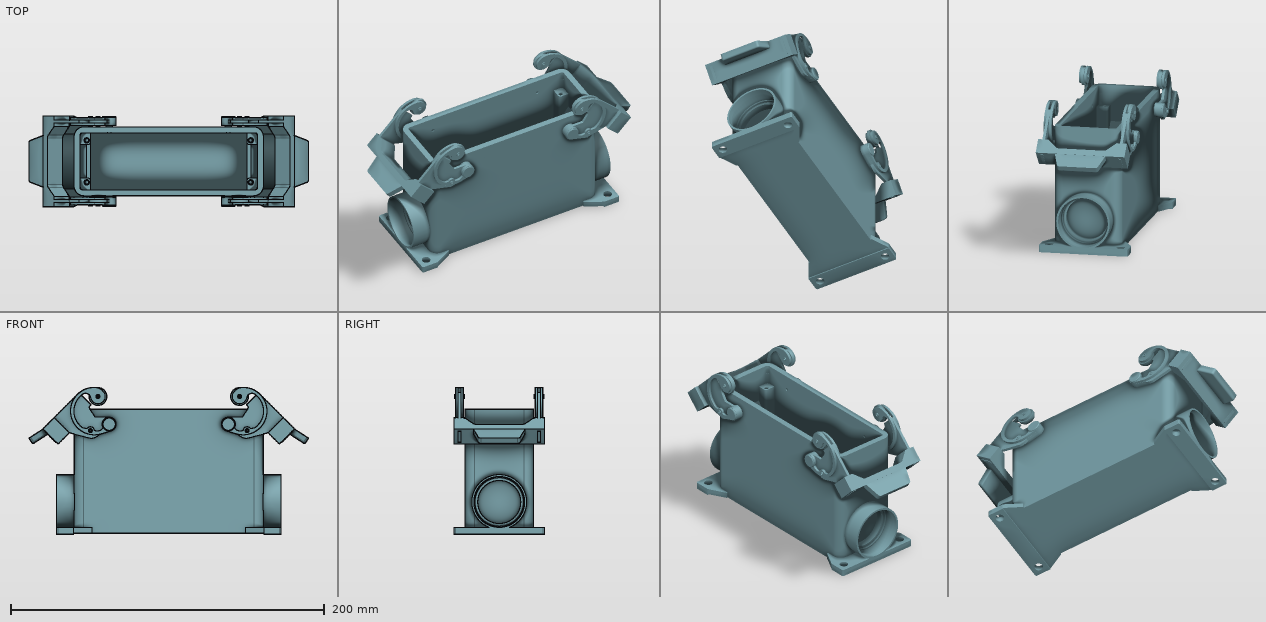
import cadquery as cq
import math


LENGTH = 178.5
WIDTH = 58.0
HEIGHT = 93.9

BODY_LENGTH = 120.7
BODY_WIDTH = 43.9
BODY_BOTTOM = 0.7
BODY_TOP = 80.0
BODY_CORNER = 6.0
WALL = 3.7
FLOOR = 3.7
RIM_HEIGHT = 5.4
RIM_CORNER = 1.5
CAVITY_CORNER = 2.1

POST_LENGTH = 6.6
POST_WIDTH = 7.5
POST_TOP = 67.1
POST_ROUND = 1.5
SCREW_X = 52.3
SCREW_Y = 13.4
SCREW_HOLE_D = 2.3
SCREW_HOLE_DEPTH = 9.0
SCREW_SINK_D = 3.4
LEDGE_WALL_Z = 56.5
LEDGE_TOP = 50.9
LEDGE_FLAT = 2.5

FOOT_END = 71.8
FOOT_THICK = 4.5
FOOT_SHOULDER = 60.7
FOOT_TIP = 49.0
FOOT_TIP_STEP = 0.9
FOOT_CORNER = 1.0
FOOT_HOLE_D = 5.5
FOOT_HOLE_INSET = 5.5

ENTRY_Z = 20.7
ENTRY_R = 17.5
ENTRY_STEPS = ((16.2, 10.4), (15.5, 11.8), (13.7, 16.5))

LEVER_MID_Y = 25.3
CENTRE_PLATE = 1.8
HOOK_PLATE = 1.6
HOOK_R = 15.2
HOOK_INNER_R = 13.0
HOOK_CENTRE = (-47.5, HEIGHT - HOOK_R)
TIP_CENTRE = (-45.2, 88.0)
TIP_R = 4.6
TIP_THROAT_R = 3.4
ROLLER_R = 5.7
PIVOT = (-38.0, 70.3)
PIVOT_R = 4.5
PIVOT_PIN_R = 2.1
PIVOT_HEAD_R = 4.3
PIVOT_HEAD = 0.9
PIVOT_HEAD_CHAMFER = 0.4
PIN_HOLE_D = 2.1
PIN_HOLE_DEPTH = 0.7
RIVET = (-50.0, 66.2)
RIVET_D = 2.5
RIVET_HOLE_D = 1.2
RIVET_HOLE_DEPTH = 0.9
RIVET_LENGTH = 6.2
RIVET_LUG_R = 2.5

TIP_START = 30
INNER_END = 237
LUG_START = 144
LUG_END = 6
EYE_START = 210
EYE_MID = 70
HOOK_DIP = (-44.8, 66.0)

NOSE_REACH = 22.5
NOSE_WIDTH = 10.9
NOTCH = ((-50.7, 81.4), (-50.3, BODY_TOP), (-47.0, PIVOT[1] + PIVOT_R))
EYE_END = -70
HEEL_START = (-44.5, 63.5)
HEEL_MID = (-47.1, 61.8)
HEEL_END = (-49.8, 61.2)
ARM_UNDERSIDE = (-60.2, 63.9)

BAR_TILT = 45.0
ARM_LENGTH = 21.0
BAR_DEPTH = 10.2
BAR_HEIGHT = 13.7
BAR_WEB = 4.1
TONGUE_START = 2.1
TONGUE_HEIGHT = 9.8
TONGUE_OUT = 0.4
POCKET_MOUTH = 44.6
POCKET_FLOOR = 31.8
POCKET_ROUND = 2.7
TAB_TILT = 33.0
TAB_LENGTH = 13.4
TAB_FREE = 10.5
TAB_THICK = 4.5
TAB_TIP_Z = 61.4
TAB_BASE_WIDTH = 32.8
TAB_TIP_WIDTH = 26.0
TAB_CORNER = 1.8
TAB_EDGE = 0.9


def polar(centre, radius, degrees):
    """Point at a given angle on a circle in the XZ plane."""
    angle = math.radians(degrees)
    return (centre[0] + radius * math.cos(angle), centre[1] + radius * math.sin(angle))


def bearing(start, end):
    """Direction in degrees from one point to another."""
    return math.degrees(math.atan2(end[1] - start[1], end[0] - start[0]))


def triangle_angle(side_a, side_b, opposite):
    """Angle in degrees between side_a and side_b of a triangle."""
    cosine = (side_a**2 + side_b**2 - opposite**2) / (2 * side_a * side_b)
    return math.degrees(math.acos(cosine))


def block(x0, x1, y0, y1, z0, z1):
    return cq.Workplane("XY").box(x1 - x0, y1 - y0, z1 - z0, centered=False).translate((x0, y0, z0))


def front_plane(y):
    """XZ plane at a given Y; extruding goes toward -Y."""
    return cq.Workplane("XZ", origin=(0, y, 0))


def front_disc(centre, diameter, y_mid, thickness):
    return front_plane(y_mid + thickness / 2).center(*centre).circle(diameter / 2).extrude(thickness)


def both_ends(left):
    return left.union(left.mirror("YZ"))


def both_sides(front):
    return front.union(front.mirror("XZ"))


CAVITY_X = BODY_LENGTH / 2 - WALL
CAVITY_Y = BODY_WIDTH / 2 - WALL
CAVITY_BOTTOM = BODY_BOTTOM + FLOOR
RIM_BOTTOM = BODY_TOP - RIM_HEIGHT


def cavity_part(bottom, top, corner):
    return block(-CAVITY_X, CAVITY_X, -CAVITY_Y, CAVITY_Y, bottom, top).edges("|Z").fillet(corner)


def body_shell():
    half_l = BODY_LENGTH / 2
    half_w = BODY_WIDTH / 2
    shell = block(-half_l, half_l, -half_w, half_w, BODY_BOTTOM, BODY_TOP)
    shell = shell.edges("|Z").fillet(BODY_CORNER)
    shell = shell.cut(cavity_part(CAVITY_BOTTOM, RIM_BOTTOM, CAVITY_CORNER))
    return shell.cut(cavity_part(RIM_BOTTOM, BODY_TOP, RIM_CORNER))


def corner_posts():
    """Screw posts of the -X end, reaching slightly into the walls."""
    grip = WALL / 2
    inner_x = -CAVITY_X + POST_LENGTH
    inner_y = -CAVITY_Y + POST_WIDTH
    post = block(-CAVITY_X - grip, inner_x, -CAVITY_Y - grip, inner_y, CAVITY_BOTTOM, POST_TOP)
    post = post.edges("|Z and >X and >Y").fillet(POST_ROUND)
    hole = (
        cq.Workplane("XY", origin=(-SCREW_X, -SCREW_Y, POST_TOP))
        .circle(SCREW_HOLE_D / 2)
        .extrude(-SCREW_HOLE_DEPTH)
    )
    sink = (
        cq.Workplane("XY", origin=(-SCREW_X, -SCREW_Y, POST_TOP))
        .circle(SCREW_SINK_D / 2)
        .workplane(offset=-(SCREW_SINK_D - SCREW_HOLE_D) / 2)
        .circle(SCREW_HOLE_D / 2)
        .loft()
    )
    return both_sides(post.cut(hole).cut(sink))


def end_ledge():
    """Ledge between the posts of the -X end: sloping from the wall, then flat."""
    edge_x = -CAVITY_X + POST_LENGTH
    return (
        front_plane(CAVITY_Y)
        .polyline([
            (-CAVITY_X, CAVITY_BOTTOM),
            (-CAVITY_X, LEDGE_WALL_Z),
            (edge_x - LEDGE_FLAT, LEDGE_TOP),
            (edge_x, LEDGE_TOP),
            (edge_x, CAVITY_BOTTOM),
        ])
        .close()
        .extrude(2 * CAVITY_Y)
    )


def foot():
    half_w = WIDTH / 2
    tip_y = BODY_WIDTH / 2 + FOOT_TIP_STEP
    base = block(-FOOT_END, -FOOT_SHOULDER, -half_w, half_w, 0, FOOT_THICK)
    base = base.edges("|Z and <X").fillet(FOOT_CORNER)
    taper = (
        cq.Workplane("XY", origin=(0, 0, BODY_BOTTOM))
        .polyline([
            (-FOOT_SHOULDER, -half_w),
            (-FOOT_TIP, -tip_y),
            (-FOOT_TIP, -CAVITY_Y),
            (-FOOT_SHOULDER, -CAVITY_Y),
        ])
        .close()
        .extrude(FOOT_THICK - BODY_BOTTOM)
    )
    bridge = block(-FOOT_SHOULDER, -CAVITY_X, -CAVITY_Y, CAVITY_Y, BODY_BOTTOM, FOOT_THICK)
    holes = (
        cq.Workplane("XY")
        .pushPoints([(-FOOT_END + FOOT_HOLE_INSET, s * (half_w - FOOT_HOLE_INSET)) for s in (-1, 1)])
        .circle(FOOT_HOLE_D / 2)
        .extrude(FOOT_THICK)
    )
    return base.union(both_sides(taper)).union(bridge).cut(holes)


def entry_cylinder(radius, depth):
    return cq.Workplane("YZ", origin=(-FOOT_END, 0, ENTRY_Z)).circle(radius).extrude(depth)


def entry_tube():
    return entry_cylinder(ENTRY_R, FOOT_END - CAVITY_X)


def entry_bore():
    """Stepped blind bore, open at the mouth."""
    bore = entry_cylinder(*ENTRY_STEPS[0])
    for radius, depth in ENTRY_STEPS[1:]:
        bore = bore.union(entry_cylinder(radius, depth))
    return bore


def hook_plate(y_mid):
    """C-shaped plate: ring around HOOK_CENTRE, curled tip above, pivot eye below."""
    span = math.dist(HOOK_CENTRE, PIVOT)
    tangent = bearing(HOOK_CENTRE, PIVOT) - math.degrees(math.acos((HOOK_R - PIVOT_R) / span))
    throat_reach = HOOK_INNER_R - TIP_THROAT_R
    tip_reach = TIP_R + TIP_THROAT_R
    tip_distance = math.dist(HOOK_CENTRE, TIP_CENTRE)
    throat = bearing(HOOK_CENTRE, TIP_CENTRE) + triangle_angle(throat_reach, tip_distance, tip_reach)
    throat_centre = polar(HOOK_CENTRE, throat_reach, throat)
    tip_end = bearing(TIP_CENTRE, throat_centre)
    throat_start = tip_end + 180
    return (
        front_plane(y_mid + HOOK_PLATE / 2)
        .moveTo(*polar(PIVOT, PIVOT_R, tangent))
        .lineTo(*polar(HOOK_CENTRE, HOOK_R, tangent))
        .threePointArc(polar(HOOK_CENTRE, HOOK_R, 180), polar(HOOK_CENTRE, HOOK_R, 90))
        .tangentArcPoint(polar(TIP_CENTRE, TIP_R, TIP_START), relative=False)
        .threePointArc(polar(TIP_CENTRE, TIP_R, -90), polar(TIP_CENTRE, TIP_R, tip_end))
        .threePointArc(
            polar(throat_centre, TIP_THROAT_R, (throat_start + throat) / 2),
            polar(HOOK_CENTRE, HOOK_INNER_R, throat),
        )
        .threePointArc(
            polar(HOOK_CENTRE, HOOK_INNER_R, 180), polar(HOOK_CENTRE, HOOK_INNER_R, INNER_END)
        )
        .lineTo(*polar(RIVET, RIVET_LUG_R, LUG_START))
        .threePointArc(polar(RIVET, RIVET_LUG_R, 90), polar(RIVET, RIVET_LUG_R, LUG_END))
        .threePointArc(HOOK_DIP, polar(PIVOT, PIVOT_R, EYE_START))
        .threePointArc(polar(PIVOT, PIVOT_R, EYE_MID), polar(PIVOT, PIVOT_R, tangent))
        .close()
        .extrude(HOOK_PLATE)
    )


BAR_TOP = polar(polar(HOOK_CENTRE, HOOK_R, 90 + BAR_TILT), ARM_LENGTH, 180 + BAR_TILT)
BAR_LOW = polar(BAR_TOP, BAR_HEIGHT, BAR_TILT - 90)


def centre_plate():
    """Arm from the cross bar to the pivot; its upper edge runs tangent to the hook."""
    nose = polar(BAR_TOP, NOSE_REACH, BAR_TILT)
    nose_low = polar(nose, NOSE_WIDTH, BAR_TILT - 90)
    return (
        front_plane(-LEVER_MID_Y + CENTRE_PLATE / 2)
        .polyline([BAR_TOP, nose, nose_low, *NOTCH, polar(PIVOT, PIVOT_R, 90)])
        .threePointArc(polar(PIVOT, PIVOT_R, 0), polar(PIVOT, PIVOT_R, EYE_END))
        .lineTo(*HEEL_START)
        .threePointArc(HEEL_MID, HEEL_END)
        .lineTo(*ARM_UNDERSIDE)
        .lineTo(*BAR_LOW)
        .close()
        .extrude(CENTRE_PLATE)
    )


def arm_tongue():
    """End of the arm, passing through the cross bar and standing slightly proud of it."""
    upper = polar(BAR_TOP, TONGUE_START, BAR_TILT - 90)
    lower = polar(upper, TONGUE_HEIGHT, BAR_TILT - 90)
    outward = 180 + BAR_TILT
    reach = BAR_DEPTH + TONGUE_OUT
    return (
        front_plane(-LEVER_MID_Y + CENTRE_PLATE / 2)
        .polyline([upper, polar(upper, reach, outward), polar(lower, reach, outward), lower])
        .close()
        .extrude(CENTRE_PLATE)
    )


def rivet_body(centre):
    return front_disc(centre, RIVET_D, -LEVER_MID_Y, RIVET_LENGTH)


def rivet_dimples(centre):
    """Shallow holes in both ends of a rivet."""
    full = front_disc(centre, RIVET_HOLE_D, -LEVER_MID_Y, RIVET_LENGTH)
    core = front_disc(centre, RIVET_HOLE_D, -LEVER_MID_Y, RIVET_LENGTH - 2 * RIVET_HOLE_DEPTH)
    return full.cut(core)


def pivot_pin():
    """Pin from the body wall through the plates, with a chamfered head outside."""
    root_y = -BODY_WIDTH / 2 + WALL / 2
    plates_y = -LEVER_MID_Y - CENTRE_PLATE / 2 - HOOK_PLATE
    shank = front_plane(root_y).center(*PIVOT).circle(PIVOT_PIN_R).extrude(root_y - plates_y)
    head = front_plane(plates_y).center(*PIVOT).circle(PIVOT_HEAD_R).extrude(PIVOT_HEAD)
    return shank.union(head.faces("<Y").chamfer(PIVOT_HEAD_CHAMFER))


def lever_side():
    offset = (CENTRE_PLATE + HOOK_PLATE) / 2
    side = centre_plate()
    side = side.union(front_disc(TIP_CENTRE, 2 * ROLLER_R, -LEVER_MID_Y, CENTRE_PLATE))
    for y_mid in (-LEVER_MID_Y - offset, -LEVER_MID_Y + offset):
        side = side.union(hook_plate(y_mid))
    side = side.union(pivot_pin())
    for centre in (TIP_CENTRE, RIVET):
        side = side.union(rivet_body(centre)).cut(rivet_dimples(centre))
    return side


def cross_bar():
    """Tilted bar, hollowed between the arms so that only the outer web remains."""
    along = polar((0, 0), 1, 180 + BAR_TILT)
    down = polar((0, 0), 1, BAR_TILT - 90)
    plane = cq.Plane(
        origin=(BAR_TOP[0], 0, BAR_TOP[1]),
        xDir=(along[0], 0, along[1]),
        normal=(down[0], 0, down[1]),
    )
    pocket_depth = BAR_DEPTH - BAR_WEB
    bar = (
        cq.Workplane(plane)
        .polyline([
            (0, WIDTH / 2),
            (BAR_DEPTH, WIDTH / 2),
            (BAR_DEPTH, -WIDTH / 2),
            (0, -WIDTH / 2),
            (0, -POCKET_MOUTH / 2),
            (pocket_depth, -POCKET_FLOOR / 2),
            (pocket_depth, POCKET_FLOOR / 2),
            (0, POCKET_MOUTH / 2),
        ])
        .close()
        .extrude(BAR_HEIGHT)
    )
    across = cq.selectors.ParallelDirSelector(plane.zDir)
    mid_taper = (POCKET_FLOOR + POCKET_MOUTH) / 4
    pocket_corners = bar.edges(across).filter(lambda edge: abs(edge.Center().y) < mid_taper)
    return pocket_corners.fillet(POCKET_ROUND)


def finger_tab():
    """Trapezoidal tab sloping down and outward from the bar."""
    inward = polar((0, 0), 1, TAB_TILT)
    down = polar((0, 0), 1, TAB_TILT - 90)
    plane = cq.Plane(
        origin=(-LENGTH / 2, 0, TAB_TIP_Z),
        xDir=(inward[0], 0, inward[1]),
        normal=(down[0], 0, down[1]),
    )
    tab = (
        cq.Workplane(plane)
        .polyline([
            (0, -TAB_TIP_WIDTH / 2),
            (TAB_FREE, -TAB_BASE_WIDTH / 2),
            (TAB_LENGTH, -TAB_BASE_WIDTH / 2),
            (TAB_LENGTH, TAB_BASE_WIDTH / 2),
            (TAB_FREE, TAB_BASE_WIDTH / 2),
            (0, TAB_TIP_WIDTH / 2),
        ])
        .close()
        .extrude(TAB_THICK)
    )
    across = cq.selectors.ParallelDirSelector(plane.zDir)
    tab = tab.edges(across).edges("<X").fillet(TAB_CORNER)
    return tab.faces(cq.selectors.DirectionMinMaxSelector(plane.zDir)).edges().fillet(TAB_EDGE)


def pin_hole():
    """Small recess at the pivot pin, in the inner face of the wall."""
    return front_plane(-CAVITY_Y).center(*PIVOT).circle(PIN_HOLE_D / 2).extrude(PIN_HOLE_DEPTH)


end_parts = corner_posts().union(end_ledge()).union(foot()).union(entry_tube())
lever = both_sides(lever_side().union(arm_tongue())).union(cross_bar()).union(finger_tab())

result = body_shell().union(both_ends(end_parts)).union(both_ends(lever))
result = result.cut(both_ends(entry_bore())).cut(both_ends(both_sides(pin_hole())))